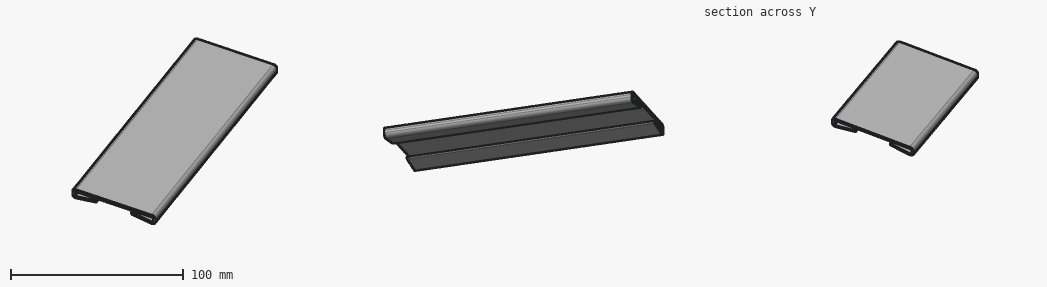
import cadquery as cq
import math

INNER_WIDTH = 50.8
LENGTH = 152.4
HEIGHT = 6.604
THICKNESS = 1.778
LIP_THICKNESS = 1.524
OUTER_RADIUS = 2.54
LIP_REACH = 15.85
LIP_ANGLE = math.radians(8.75)

HALF_WIDTH = INNER_WIDTH / 2 + THICKNESS
BEND_X = HALF_WIDTH - OUTER_RADIUS
UPPER_BEND_Z = HEIGHT - OUTER_RADIUS
LOWER_BEND_Z = OUTER_RADIUS
TIP_RADIUS = LIP_THICKNESS / 2
LIP_MID_RADIUS = OUTER_RADIUS - TIP_RADIUS
LIP_INNER_RADIUS = OUTER_RADIUS - LIP_THICKNESS


def polar(center, radius, angle):
    """Point at the given radius and angle about a center in the XZ plane."""
    return (center[0] + radius * math.cos(angle), center[1] + radius * math.sin(angle))


def half_section():
    """Right half of the C-shaped cross-section, from the middle to the lip tip."""
    upper = (BEND_X, UPPER_BEND_Z)
    lower = (BEND_X, LOWER_BEND_Z)
    upper_mid_angle = math.pi / 4
    lip_normal = -math.pi / 2 - LIP_ANGLE
    lower_mid_angle = lip_normal / 2

    lip_start = polar(lower, LIP_MID_RADIUS, lip_normal)
    tip_x = HALF_WIDTH - LIP_REACH + TIP_RADIUS
    tip = (tip_x, lip_start[1] + (lip_start[0] - tip_x) * math.tan(LIP_ANGLE))
    lip_direction = math.pi - LIP_ANGLE

    wall_x = HALF_WIDTH - THICKNESS
    inner_face = polar(lower, LIP_INNER_RADIUS, lip_normal)
    inner_corner = (wall_x, inner_face[1] - (wall_x - inner_face[0]) * math.tan(LIP_ANGLE))

    return (
        cq.Workplane("XZ")
        .moveTo(0, HEIGHT)
        .lineTo(BEND_X, HEIGHT)
        .threePointArc(polar(upper, OUTER_RADIUS, upper_mid_angle), (HALF_WIDTH, UPPER_BEND_Z))
        .lineTo(HALF_WIDTH, LOWER_BEND_Z)
        .threePointArc(polar(lower, OUTER_RADIUS, lower_mid_angle), polar(lower, OUTER_RADIUS, lip_normal))
        .lineTo(*polar(tip, TIP_RADIUS, lip_normal))
        .threePointArc(polar(tip, TIP_RADIUS, lip_direction), polar(tip, TIP_RADIUS, lip_normal + math.pi))
        .lineTo(*inner_corner)
        .lineTo(wall_x, HEIGHT - THICKNESS)
        .lineTo(0, HEIGHT - THICKNESS)
        .close()
    )


half = half_section().extrude(LENGTH / 2, both=True)
result = half.union(half.mirror("YZ")).clean()